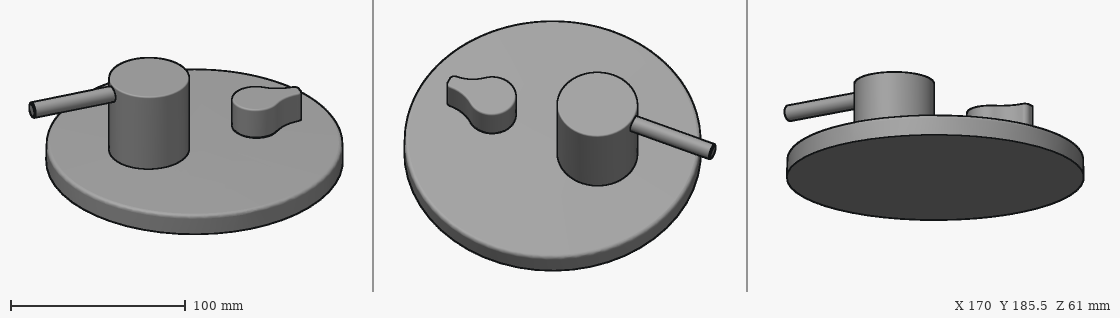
import cadquery as cq
import math

plate_radius = 85.0
plate_draft = 0.28
plate_edge_height = 12.2
plate_crown_height = 14.0
plate_fillet = 2.2

body_radius = 23.0
body_y = -28.0
body_top = 61.0
body_fillet = 1.0
lever_radius = 4.6
lever_z = 54.7
lever_end_y = plate_radius - 185.5
lever_chamfer = 0.7

knob_radius = 13.7
knob_y = 37.8
knob_bottom = 14.8
knob_top = 33.0
knob_fillet = 1.1
tip_half_width = 4.5
tip_y = 65.1
tip_corner_radius = 3.0
post_radius = 12.5


def make_plate():
    rim_radius = plate_radius - plate_draft
    rise = plate_crown_height - plate_edge_height
    dome_radius = (rim_radius**2 + rise**2) / (2 * rise)
    mid_radius = rim_radius / 2
    mid_height = plate_crown_height - dome_radius + math.sqrt(dome_radius**2 - mid_radius**2)
    plate = (
        cq.Workplane("XZ")
        .lineTo(plate_radius, 0)
        .lineTo(rim_radius, plate_edge_height)
        .threePointArc((mid_radius, mid_height), (0, plate_crown_height))
        .close()
        .revolve(360, (0, 0), (0, 1))
    )
    return plate.edges(cq.selectors.RadiusNthSelector(0)).fillet(plate_fillet)


def make_body():
    return (
        cq.Workplane("XY")
        .center(0, body_y)
        .circle(body_radius)
        .extrude(body_top)
        .faces(">Z")
        .edges()
        .fillet(body_fillet)
    )


def make_lever():
    return (
        cq.Workplane("XZ", origin=(0, body_y, lever_z))
        .circle(lever_radius)
        .extrude(body_y - lever_end_y)
        .faces("<Y")
        .chamfer(lever_chamfer)
    )


def make_knob():
    neck_y = tip_y - tip_corner_radius
    neck_length = neck_y - knob_y
    flank_radius = (neck_length**2 + tip_half_width**2 - knob_radius**2) / (
        2 * (knob_radius - tip_half_width)
    )
    flank_x = tip_half_width + flank_radius
    join_angle = math.atan2(neck_length, flank_x)
    join = (knob_radius * math.cos(join_angle), knob_y + knob_radius * math.sin(join_angle))
    flank_mid = (
        flank_x - flank_radius * math.cos(join_angle / 2),
        neck_y - flank_radius * math.sin(join_angle / 2),
    )
    tip_flat_x = tip_half_width - tip_corner_radius
    knob = (
        cq.Workplane("XY", origin=(0, 0, knob_bottom))
        .moveTo(-tip_flat_x, tip_y)
        .lineTo(tip_flat_x, tip_y)
        .tangentArcPoint((tip_half_width, neck_y), relative=False)
        .threePointArc(flank_mid, join)
        .threePointArc((0, knob_y - knob_radius), (-join[0], join[1]))
        .threePointArc((-flank_mid[0], flank_mid[1]), (-tip_half_width, neck_y))
        .tangentArcPoint((-tip_flat_x, tip_y), relative=False)
        .close()
        .extrude(knob_top - knob_bottom)
        .faces(">Z")
        .edges()
        .fillet(knob_fillet)
    )
    post = cq.Workplane("XY").center(0, knob_y).circle(post_radius).extrude(knob_bottom)
    return knob.union(post)


result = make_plate().union(make_body()).union(make_lever()).union(make_knob())